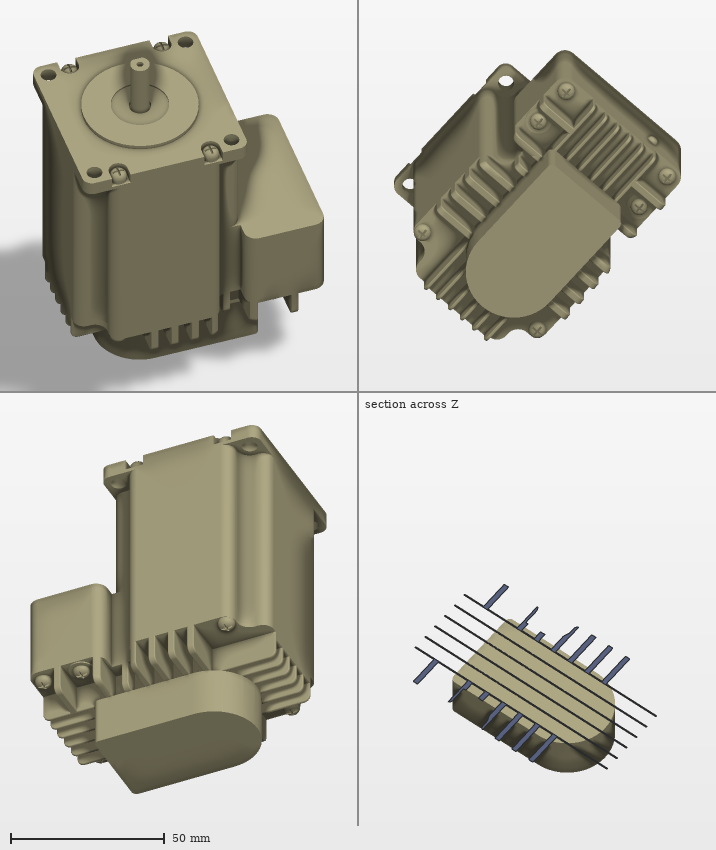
import cadquery as cq
import math


GEAR_TOP = 16.8
CHANNEL_TOP = 23.6
BODY_BOTTOM = 26.5
BOX_TOP = 56.3
FLANGE_BOTTOM = 96.7
FLANGE_TOP = 101.7
PILOT_TOP = 103.1
SHAFT_FLAT_BOTTOM = 106.9
SHAFT_TOP = 121.6

HALF_SIDE = 28.1
FLANGE_CORNER_R = 3.3
BOLT_OFFSET = 23.5
BOLT_HOLE_R = 2.5
LOBE_R = 3.8
RECESS_WALL = 18.8
RECESS_CENTER = 23.2

PILOT_R = 19.1
PILOT_RECESS_R = 9.5
PILOT_RECESS_DEPTH = 0.6
SHAFT_CLEARANCE_R = 3.6
SHAFT_CLEARANCE_DEPTH = 1.5
SHAFT_R = 3.2
SHAFT_FLAT_X = -2.7
CENTER_HOLE_R = 1.1
CENTER_HOLE_DEPTH = 2.4

BOX_HALF_WIDTH = 26.5
BOX_BACK = 55.2
BOX_CORNER_R = 4.0
LAMP_X = -11.8
LAMP_Z = 33.1
LAMP_R = 1.8
LAMP_HEIGHT = 1.5
LAMP_ROUNDING = 1.3

FIN_EDGE_R = 2.4
LONG_FIN_THICKNESS = 1.1
LONG_FIN_PITCH = 5.2
LONG_FIN_COUNT = 6
RIB_THICKNESS = 2.4
RIB_PITCH = 6.9
FIRST_RIB_Y = -4.3
RIB_STEPS = (0, 1, 2, 3, 4, 5, 7)
RIM_R = 0.4
TOLERANCE = 0.001
TOOL_MARGIN = 1.2

GEAR_X = -0.7
GEAR_R = 15.6
GEAR_BACK = 36.0
GEAR_CORNER_R = 1.8

HEAD_R = 2.8
HEAD_HEIGHT = 3.4
HEAD_ROUNDING = 2.1
LOW_HEAD_HEIGHT = 2.7
CROSS_LENGTH = 3.9
CROSS_WIDTH = 0.7
CROSS_DEPTH = 1.2
SCREW_X = 24.9
SCREW_Y = 15.8
SCREW_POCKET_R = 3.2
SCREW_POCKET_DEPTH = 3.8
BOX_SCREW_X = 21.9
BOX_FRONT_SCREW_Y = 37.6
WASHER_R = 4.3
WASHER_THICKNESS = 0.5


def block(x_min, x_max, y_min, y_max, z_min, z_max):
    size = (x_max - x_min, y_max - y_min, z_max - z_min)
    return cq.Workplane("XY").box(*size, centered=False).translate((x_min, y_min, z_min))


def cylinder(radius, z_min, z_max, x=0, y=0):
    return cq.Workplane("XY", origin=(x, y, z_min)).circle(radius).extrude(z_max - z_min)


def body_prism(z_min, z_max):
    """Square body whose corners are scooped out around the flange bolts."""
    flat_end = RECESS_WALL - LOBE_R
    lobe_end = HALF_SIDE - LOBE_R
    lobe_mid = LOBE_R * math.sqrt(0.5)
    recess_r = RECESS_CENTER - RECESS_WALL
    recess_mid = RECESS_CENTER - recess_r * math.sqrt(0.5)
    corner = [
        ("line", (HALF_SIDE, flat_end)),
        ("arc", (lobe_end + lobe_mid, flat_end + lobe_mid), (lobe_end, RECESS_WALL)),
        ("line", (RECESS_CENTER, RECESS_WALL)),
        ("arc", (recess_mid, recess_mid), (RECESS_WALL, RECESS_CENTER)),
        ("line", (RECESS_WALL, lobe_end)),
        ("arc", (flat_end + lobe_mid, lobe_end + lobe_mid), (flat_end, HALF_SIDE)),
    ]
    outline = cq.Workplane("XY", origin=(0, 0, z_min)).moveTo(HALF_SIDE, -flat_end)
    for cos, sin in ((1, 0), (0, 1), (-1, 0), (0, -1)):
        for kind, *points in corner:
            turned = [(x * cos - y * sin, x * sin + y * cos) for x, y in points]
            if kind == "line":
                outline = outline.lineTo(*turned[0])
            else:
                outline = outline.threePointArc(*turned)
    return outline.close().extrude(z_max - z_min)


def box_prism(z_min, z_max):
    """Terminal box with the neck that joins it to the motor body."""
    box = block(-BOX_HALF_WIDTH, BOX_HALF_WIDTH, HALF_SIDE, BOX_BACK, z_min, z_max)
    box = box.edges("|Z").fillet(BOX_CORNER_R)
    neck_overlap = 1.2
    neck = block(-RECESS_WALL, RECESS_WALL, RECESS_CENTER, HALF_SIDE + neck_overlap, z_min, z_max)
    return box.union(neck)


def lies_on_side(position, centers, thickness):
    """True where the position is on either side face of one of the fins."""
    return any(abs(abs(position - center) - thickness / 2) < TOLERANCE for center in centers)


def round_fin_rims(base, fin_centers, rib_centers, core_half_width):
    """Round the free rims of all fins and ribs, leaving the edges along roofs and inner corners."""
    rims = []
    for edge in base.edges().vals():
        bounds = edge.BoundingBox()
        middle = edge.Center()
        flat_x = bounds.xlen < TOLERANCE
        flat_y = bounds.ylen < TOLERANCE
        on_fin = flat_x and lies_on_side(middle.x, fin_centers, LONG_FIN_THICKNESS)
        on_rib = flat_y and lies_on_side(middle.y, rib_centers, RIB_THICKNESS)
        inner_corner = flat_x and on_rib and abs(abs(middle.x) - core_half_width) < TOLERANCE
        on_fin_rim = on_fin and bounds.zmin < CHANNEL_TOP - TOLERANCE
        on_rib_rim = on_rib and bounds.zmin < BODY_BOTTOM - TOLERANCE
        if (on_fin_rim or on_rib_rim) and not inner_corner:
            rims.append(edge)
    return base.newObject(rims).fillet(RIM_R)


def finned_base():
    """Long fins along Y in the middle, short ribs along X on both sides."""
    base = body_prism(GEAR_TOP, BODY_BOTTOM).union(box_prism(GEAR_TOP, BODY_BOTTOM))
    base = base.faces("<Z").edges().fillet(FIN_EDGE_R)

    fin_span = (LONG_FIN_COUNT - 1) * LONG_FIN_PITCH
    core_half_width = (fin_span + LONG_FIN_THICKNESS) / 2
    front = -HALF_SIDE - TOOL_MARGIN
    back = BOX_BACK + TOOL_MARGIN
    bottom = GEAR_TOP - TOOL_MARGIN
    fin_centers = [i * LONG_FIN_PITCH - fin_span / 2 for i in range(LONG_FIN_COUNT)]
    for left_fin, right_fin in zip(fin_centers, fin_centers[1:]):
        x_min = left_fin + LONG_FIN_THICKNESS / 2
        x_max = right_fin - LONG_FIN_THICKNESS / 2
        base = base.cut(block(x_min, x_max, front, back, bottom, CHANNEL_TOP))

    outer = HALF_SIDE + TOOL_MARGIN
    rib_centers = [FIRST_RIB_Y + step * RIB_PITCH for step in RIB_STEPS]
    bay_starts = [front] + [y + RIB_THICKNESS / 2 for y in rib_centers]
    bay_ends = [y - RIB_THICKNESS / 2 for y in rib_centers] + [back]
    for y_min, y_max in zip(bay_starts, bay_ends):
        base = base.cut(block(core_half_width, outer, y_min, y_max, bottom, BODY_BOTTOM))
        base = base.cut(block(-outer, -core_half_width, y_min, y_max, bottom, BODY_BOTTOM))
    return round_fin_rims(base, fin_centers, rib_centers, core_half_width)


def gear_housing():
    """Round at the front, square with rounded corners at the back."""
    straight = block(GEAR_X - GEAR_R, GEAR_X + GEAR_R, 0, GEAR_BACK, 0, GEAR_TOP)
    straight = straight.edges("|Z and >Y").fillet(GEAR_CORNER_R)
    return straight.union(cylinder(GEAR_R, 0, GEAR_TOP, x=GEAR_X))


def screw_head(height):
    """Rounded cross-recess head standing on Z = 0."""
    head = cylinder(HEAD_R, 0, height).faces(">Z").edges().fillet(HEAD_ROUNDING)
    cross = cq.Workplane("XY", origin=(0, 0, height - CROSS_DEPTH)).rect(CROSS_LENGTH, CROSS_WIDTH)
    cross = cross.extrude(CROSS_DEPTH)
    return head.cut(cross).cut(cross.rotate((0, 0, 0), (0, 0, 1), 90))


def flange():
    """Square plate with four bolt holes and four sunken screws open to its sides."""
    plate = block(-HALF_SIDE, HALF_SIDE, -HALF_SIDE, HALF_SIDE, FLANGE_BOTTOM, FLANGE_TOP)
    plate = plate.edges("|Z").fillet(FLANGE_CORNER_R)
    pocket_floor = FLANGE_TOP - SCREW_POCKET_DEPTH
    pocket_reach = HALF_SIDE - SCREW_X + SCREW_POCKET_R
    head = screw_head(HEAD_HEIGHT)
    for side_x in (-1, 1):
        pocket = cq.Workplane("XY").center(side_x * pocket_reach / 2, 0)
        pocket = pocket.slot2D(pocket_reach + 2 * SCREW_POCKET_R, 2 * SCREW_POCKET_R)
        pocket = pocket.extrude(SCREW_POCKET_DEPTH)
        for side_y in (-1, 1):
            x = side_x * SCREW_X
            y = side_y * SCREW_Y
            bolt_x = side_x * BOLT_OFFSET
            bolt_y = side_y * BOLT_OFFSET
            plate = plate.cut(cylinder(BOLT_HOLE_R, FLANGE_BOTTOM, FLANGE_TOP, bolt_x, bolt_y))
            plate = plate.cut(pocket.translate((x, y, pocket_floor)))
            plate = plate.union(head.translate((x, y, pocket_floor)))
    return plate


def pilot_and_shaft(motor):
    """Pilot disc with a shallow recess, and the flatted shaft standing in its clearance bore."""
    motor = motor.union(cylinder(PILOT_R, FLANGE_TOP, PILOT_TOP))
    recess_floor = PILOT_TOP - PILOT_RECESS_DEPTH
    clearance_floor = recess_floor - SHAFT_CLEARANCE_DEPTH
    motor = motor.cut(cylinder(PILOT_RECESS_R, recess_floor, PILOT_TOP))
    motor = motor.cut(cylinder(SHAFT_CLEARANCE_R, clearance_floor, PILOT_TOP))
    shaft = cylinder(SHAFT_R, clearance_floor, SHAFT_TOP)
    shaft = shaft.cut(block(-SHAFT_R, SHAFT_FLAT_X, -SHAFT_R, SHAFT_R, SHAFT_FLAT_BOTTOM, SHAFT_TOP))
    shaft = shaft.cut(cylinder(CENTER_HOLE_R, SHAFT_TOP - CENTER_HOLE_DEPTH, SHAFT_TOP))
    return motor.union(shaft)


def bottom_screws(motor):
    """Screw heads hanging in the side bays."""
    head = screw_head(LOW_HEAD_HEIGHT).rotate((0, 0, 0), (1, 0, 0), 180)
    washer_bottom = BODY_BOTTOM - WASHER_THICKNESS
    washer = cylinder(WASHER_R, washer_bottom, BODY_BOTTOM)
    for side in (-1, 1):
        motor = motor.union(washer.translate((side * BOX_SCREW_X, BOX_FRONT_SCREW_Y, 0)))
    places = (
        (SCREW_X, -SCREW_Y),
        (BOX_SCREW_X, BOX_FRONT_SCREW_Y),
        (BOX_SCREW_X, BOX_BACK - BOX_CORNER_R),
    )
    for x, y in places:
        for side in (-1, 1):
            motor = motor.union(head.translate((side * x, y, BODY_BOTTOM)))
    return motor


def lamp():
    """Small rounded button on the back of the terminal box."""
    button = cq.Workplane("XZ", origin=(LAMP_X, BOX_BACK, LAMP_Z)).circle(LAMP_R).extrude(-LAMP_HEIGHT)
    return button.faces(">Y").edges().fillet(LAMP_ROUNDING)


motor = body_prism(BODY_BOTTOM, FLANGE_BOTTOM).union(box_prism(BODY_BOTTOM, BOX_TOP))
motor = motor.union(finned_base()).union(gear_housing()).union(flange()).union(lamp())
result = bottom_screws(pilot_and_shaft(motor))